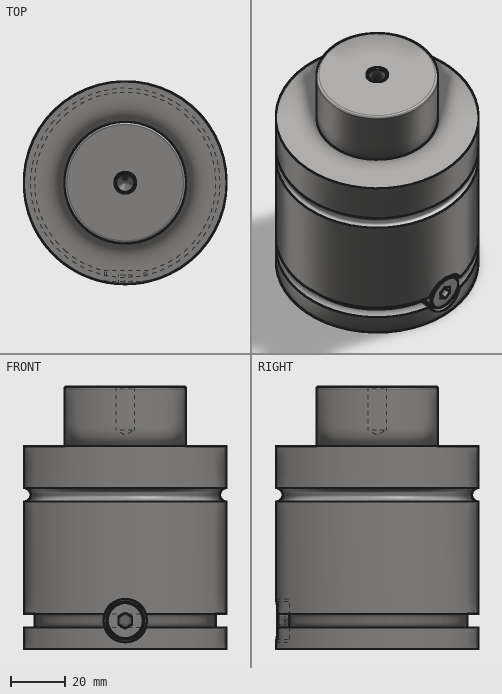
import cadquery as cq
import math

BODY_DIAMETER = 75.0
BODY_HEIGHT = 75.0
ROD_DIAMETER = 45.0
TOTAL_HEIGHT = 97.0
ROD_EDGE_RADIUS = 1.0

ROUND_GROOVE_RADIUS = 2.5
ROUND_GROOVE_Z = 57.0

SQUARE_GROOVE_WIDTH = 5.0
SQUARE_GROOVE_DEPTH = 4.0
SQUARE_GROOVE_Z = 10.5

TAP_DIAMETER = 6.8
TAP_MOUTH_DIAMETER = 8.0
TAP_DEPTH = 16.0
COUNTERSINK_ANGLE = 90.0
DRILL_POINT_ANGLE = 118.0

PORT_DIAMETER = 16.0
PORT_DEPTH = 5.0
PLUG_DIAMETER = 14.0
PLUG_RECESS = 0.5
PLUG_CHAMFER = 0.5
SOCKET_ACROSS_FLATS = 5.0
SOCKET_DEPTH = 3.0

BODY_RADIUS = BODY_DIAMETER / 2
PORT_FLOOR = BODY_RADIUS - PORT_DEPTH
PLUG_FACE = BODY_RADIUS - PLUG_RECESS


def port_plane(distance):
    """Plane facing -Y at the given distance from the axis, centred on the port."""
    return cq.Workplane("XZ", origin=(0, -distance, SQUARE_GROOVE_Z))


def make_body():
    """Body and rod turned from one profile, including both grooves."""
    rod_radius = ROD_DIAMETER / 2
    square_floor = BODY_RADIUS - SQUARE_GROOVE_DEPTH
    square_bottom = SQUARE_GROOVE_Z - SQUARE_GROOVE_WIDTH / 2
    square_top = square_bottom + SQUARE_GROOVE_WIDTH
    profile = (
        cq.Workplane("XZ")
        .lineTo(BODY_RADIUS, 0)
        .lineTo(BODY_RADIUS, square_bottom)
        .lineTo(square_floor, square_bottom)
        .lineTo(square_floor, square_top)
        .lineTo(BODY_RADIUS, square_top)
        .lineTo(BODY_RADIUS, ROUND_GROOVE_Z - ROUND_GROOVE_RADIUS)
        .threePointArc(
            (BODY_RADIUS - ROUND_GROOVE_RADIUS, ROUND_GROOVE_Z),
            (BODY_RADIUS, ROUND_GROOVE_Z + ROUND_GROOVE_RADIUS),
        )
        .lineTo(BODY_RADIUS, BODY_HEIGHT)
        .lineTo(rod_radius, BODY_HEIGHT)
        .lineTo(rod_radius, TOTAL_HEIGHT - ROD_EDGE_RADIUS)
        .radiusArc((rod_radius - ROD_EDGE_RADIUS, TOTAL_HEIGHT), -ROD_EDGE_RADIUS)
        .lineTo(0, TOTAL_HEIGHT)
        .close()
    )
    return profile.revolve(360, (0, 0), (0, 1))


def make_tapped_hole():
    """Blind hole with a countersunk mouth and a conical drill point."""
    tap_radius = TAP_DIAMETER / 2
    mouth_radius = TAP_MOUTH_DIAMETER / 2
    countersink_depth = (mouth_radius - tap_radius) / math.tan(math.radians(COUNTERSINK_ANGLE / 2))
    point_length = tap_radius / math.tan(math.radians(DRILL_POINT_ANGLE / 2))
    floor = TOTAL_HEIGHT - TAP_DEPTH
    profile = (
        cq.Workplane("XZ")
        .moveTo(0, TOTAL_HEIGHT)
        .lineTo(mouth_radius, TOTAL_HEIGHT)
        .lineTo(tap_radius, TOTAL_HEIGHT - countersink_depth)
        .lineTo(tap_radius, floor)
        .lineTo(0, floor - point_length)
        .close()
    )
    return profile.revolve(360, (0, 0), (0, 1))


def make_port():
    """Flat-bottomed round recess cut into the side of the body."""
    return port_plane(PORT_FLOOR).circle(PORT_DIAMETER / 2).extrude(PORT_DEPTH)


def make_plug():
    """Chamfered round plug with a hexagon socket, one corner pointing up."""
    plug = (
        port_plane(PORT_FLOOR)
        .circle(PLUG_DIAMETER / 2)
        .extrude(PLUG_FACE - PORT_FLOOR)
        .faces("<Y")
        .chamfer(PLUG_CHAMFER)
    )
    across_corners = SOCKET_ACROSS_FLATS / math.cos(math.radians(30))
    socket = (
        port_plane(PLUG_FACE)
        .transformed(rotate=(0, 0, 90))
        .polygon(6, across_corners)
        .extrude(-SOCKET_DEPTH)
    )
    return plug.cut(socket)


result = make_body().cut(make_tapped_hole()).cut(make_port()).union(make_plug())